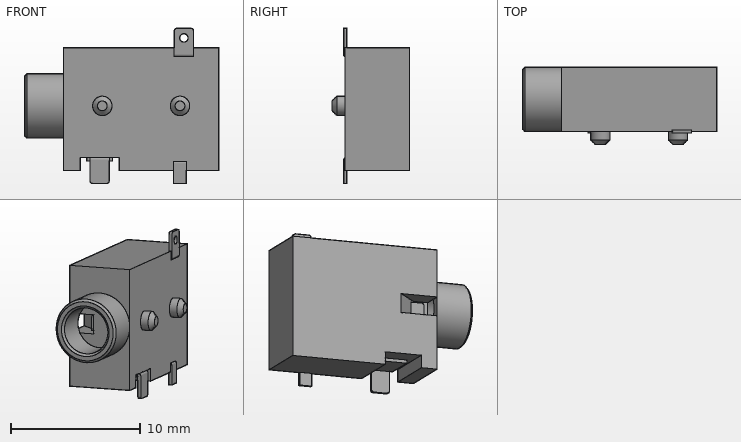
import cadquery as cq

length = 15.0
barrel_length = 3.0
overall_depth = 6.0
body_depth = 5.0
body_top = 4.5
body_bottom = -5.0
terminal_reach = 6.0
body_length = length - barrel_length
axis_y = body_depth / 2

bore_radius = 1.8
barrel_chamfer = 0.18

peg_positions = (6.0, 12.0)
peg_radius = 0.75
peg_height = overall_depth - body_depth
peg_chamfer = 0.38

window_height = 1.5
window_inner_y = 3.0
window_near_depth = 1.2
window_far_depth = 3.0

spring_height = 1.15
spring_thickness = 0.24
spring_y = 3.1
spring_setback = 0.45
spring_tip_radius = 0.18

notch_left = 4.3
notch_width = 3.0
notch_roof = -4.0

sheet = 0.25
terminal_proud = 0.1
bend_radius = 0.2
tip_corner_radius = 0.21
top_terminal_left = 11.55
top_terminal_width = 1.5
top_terminal_start = 3.78
eyelet_diameter = 0.63
eyelet_height = 5.25
rear_terminal_left = 11.49
rear_terminal_width = 1.0
rear_terminal_start = -4.26
front_terminal_left = 5.04
front_terminal_width = 1.5

foot_width = 2.0
foot_depth = 3.0


def box(x, y, z, dx, dy, dz):
    """Box from its lowest corner and its sizes."""
    return cq.Workplane("XY").box(dx, dy, dz, centered=False).translate((x, y, z))


def terminal(left, width, low, high, bend_edge, tip_face=None):
    """Flat upright blade with a rounded bend and, optionally, rounded tip corners."""
    blade = box(left, -terminal_proud, low, width, sheet, high - low)
    blade = blade.faces("<Y").edges(bend_edge).fillet(bend_radius)
    if tip_face:
        blade = blade.faces(tip_face).edges("|Y").fillet(tip_corner_radius)
    return blade


def make_housing():
    body = box(barrel_length, 0, body_bottom, body_length, body_depth, body_top - body_bottom)
    notch = box(notch_left, 0, body_bottom, notch_width, body_depth, notch_roof - body_bottom)
    barrel = (
        cq.Workplane("YZ").center(axis_y, 0).circle(body_depth / 2).circle(bore_radius)
        .extrude(barrel_length)
        .faces("<X").edges().chamfer(barrel_chamfer)
    )
    return body.cut(notch).union(barrel)


def make_window():
    """Pocket with a slanting floor, starting at the bottom of the bore."""
    return (
        cq.Workplane("XY").workplane(offset=-window_height / 2)
        .moveTo(barrel_length, window_inner_y)
        .lineTo(barrel_length + window_near_depth, window_inner_y)
        .lineTo(barrel_length + window_far_depth, body_depth)
        .lineTo(barrel_length, body_depth)
        .close()
        .extrude(window_height)
    )


def make_spring():
    """Flat spring with a rounded upper corner at its tip, anchored beyond the window floor."""
    spring = box(
        barrel_length + spring_setback, spring_y, -spring_height / 2,
        window_far_depth, spring_thickness, spring_height,
    )
    return spring.faces("<X").edges(">Z").fillet(spring_tip_radius)


def make_peg(x):
    peg = cq.Workplane("XZ").center(x, 0).circle(peg_radius).extrude(peg_height)
    return peg.faces("<Y").chamfer(peg_chamfer)


def make_top_terminal():
    eyelet_x = top_terminal_left + top_terminal_width / 2
    eyelet = (
        cq.Workplane("XZ", origin=(eyelet_x, 0, eyelet_height))
        .circle(eyelet_diameter / 2).extrude(sheet, both=True)
    )
    blade = terminal(
        top_terminal_left, top_terminal_width, top_terminal_start, terminal_reach, "<Z", ">Z"
    )
    return blade.cut(eyelet)


def make_front_terminal():
    blade = terminal(
        front_terminal_left, front_terminal_width, -terminal_reach, notch_roof, ">Z", "<Z"
    )
    foot_left = front_terminal_left + (front_terminal_width - foot_width) / 2
    foot = box(foot_left, sheet - terminal_proud, notch_roof - sheet, foot_width, foot_depth, sheet)
    return blade.union(foot)


result = make_housing().cut(make_window()).union(make_spring())
for peg_x in peg_positions:
    result = result.union(make_peg(peg_x))
result = result.union(make_top_terminal()).union(make_front_terminal())
result = result.union(
    terminal(rear_terminal_left, rear_terminal_width, -terminal_reach, rear_terminal_start, ">Z")
)